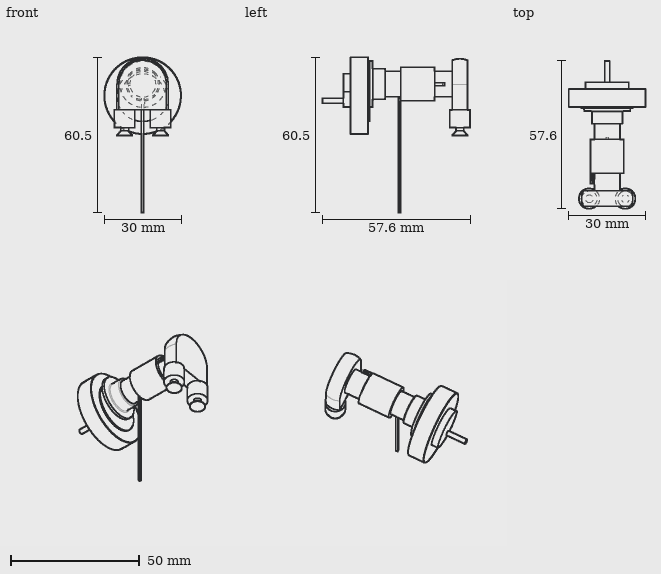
import cadquery as cq
import math


overall_height = 60.45

flange_axis_z = -4.55
flange_radius = 15.0
flange_thickness = 7.0
flange_chamfer = 0.2
plate_radius = 10.05
plate_thickness = 0.55
rear_boss_radius = 8.6
rear_boss_height = 2.7
rear_boss_back = flange_thickness + rear_boss_height

pin_radius = 1.0
pin_axis_z = -6.5
pin_back = 17.95
pin_chamfer = 0.2

disc_radius = 9.0
disc_front = -1.65
collar_radius = 6.0
collar_front = -6.6
collar_fillet = 0.35
collar_root_fillet = 0.35
shaft_radius = 5.0
sleeve_radius = 6.5
sleeve_back = -12.6
sleeve_front = -25.75

wire_width = 0.85
leg_width = 0.95
leg_top = -5.6
leg_bottom = flange_axis_z + flange_radius - overall_height
tab_height = 1.15
tab_length = 4.0
hook_radius = 0.5

head_half_width = 10.0
head_face_half_width = 9.25
head_thickness = 6.05
head_back = -32.6
head_bottom = -10.05
head_centre_y = head_back - head_thickness / 2

foot_offset_x = 7.0
barrel_radius = 4.0
barrel_height = 6.95
neck_radius = 1.5
neck_height = 1.25
cone_radius = 3.0
cone_height = 1.7
rim_height = 0.2


def cylinder_y(radius, y_front, y_back, axis_z=0.0):
    """Cylinder along Y between two Y positions."""
    length = y_back - y_front
    return cq.Workplane(cq.Solid.makeCylinder(
        radius, length, cq.Vector(0, y_front, axis_z), cq.Vector(0, 1, 0)))


def make_flange():
    flange = cylinder_y(flange_radius, 0, flange_thickness, flange_axis_z)
    flange = flange.edges().chamfer(flange_chamfer)
    plate = cylinder_y(plate_radius, -plate_thickness, 0, flange_axis_z)
    return flange.union(plate)


def make_rear_boss():
    """Lens-shaped boss: the overlap of a flange circle and the spindle disc circle."""
    flange_round = cylinder_y(rear_boss_radius, flange_thickness, rear_boss_back, flange_axis_z)
    spindle_round = cylinder_y(disc_radius, flange_thickness, rear_boss_back)
    return flange_round.intersect(spindle_round)


def make_rear_pin():
    pin = cylinder_y(pin_radius, flange_thickness, pin_back, pin_axis_z)
    return pin.faces(">Y").edges().chamfer(pin_chamfer)


def make_spindle():
    """Disc, collar, shaft and sleeve as one revolved profile of (radius, Y) points."""
    root_radius = collar_radius + collar_root_fillet
    corner_radius = collar_radius - collar_fillet
    arc_reach = math.sqrt(0.5)
    profile = (
        cq.Workplane("XY")
        .moveTo(0, -plate_thickness)
        .lineTo(disc_radius, -plate_thickness)
        .lineTo(disc_radius, disc_front)
        .lineTo(root_radius, disc_front)
        .threePointArc(
            (root_radius - collar_root_fillet * arc_reach,
             disc_front - collar_root_fillet * (1 - arc_reach)),
            (collar_radius, disc_front - collar_root_fillet))
        .lineTo(collar_radius, collar_front + collar_fillet)
        .threePointArc(
            (corner_radius + collar_fillet * arc_reach,
             collar_front + collar_fillet * (1 - arc_reach)),
            (corner_radius, collar_front))
        .lineTo(shaft_radius, collar_front)
        .lineTo(shaft_radius, sleeve_back)
        .lineTo(sleeve_radius, sleeve_back)
        .lineTo(sleeve_radius, sleeve_front)
        .lineTo(shaft_radius, sleeve_front)
        .lineTo(shaft_radius, head_back)
        .lineTo(0, head_back)
        .close()
    )
    return profile.revolve(360, (0, 0, 0), (0, 1, 0))


def make_spring_ends():
    leg = cq.Workplane("XY").box(
        leg_width, wire_width, leg_top - leg_bottom, centered=(True, False, False)
    ).translate((0, sleeve_back, leg_bottom))
    tab_front = sleeve_front - tab_length
    tab = cq.Workplane("XY").box(
        wire_width, tab_length, tab_height, centered=(False, False, True)
    ).translate((-sleeve_radius, tab_front, 0))
    hook_start = -sleeve_radius + wire_width / 2
    hook = cq.Workplane(cq.Solid.makeCylinder(
        hook_radius, -hook_start, cq.Vector(hook_start, tab_front + hook_radius, 0), cq.Vector(1, 0, 0)))
    return leg.union(tab).union(hook)


def make_head():
    """Crowned half section, revolved for the round top and extruded for the straight sides."""
    head_front = head_back - head_thickness

    def half_section():
        return (
            cq.Workplane("XY")
            .moveTo(0, head_back)
            .lineTo(head_face_half_width, head_back)
            .threePointArc((head_half_width, head_centre_y), (head_face_half_width, head_front))
            .lineTo(0, head_front)
            .close()
        )

    round_top = half_section().revolve(360, (0, 0, 0), (0, 1, 0))
    right_side = half_section().extrude(head_bottom)
    left_side = right_side.mirror("YZ")
    return round_top.union(right_side).union(left_side)


def make_foot(centre_x):
    """Barrel with a thin neck and a flared tip, revolved about a vertical axis."""
    neck_top = -barrel_height
    cone_top = neck_top - neck_height
    rim_top = cone_top - cone_height
    rim_bottom = rim_top - rim_height
    profile = cq.Workplane("XZ").polyline([
        (0, 0),
        (barrel_radius, 0),
        (barrel_radius, neck_top),
        (neck_radius, neck_top),
        (neck_radius, cone_top),
        (cone_radius, rim_top),
        (cone_radius, rim_bottom),
        (0, rim_bottom),
    ]).close()
    foot = profile.revolve(360, (0, 0, 0), (0, 1, 0))
    return foot.translate((centre_x, head_centre_y, head_bottom))


result = make_flange()
for body in (make_rear_boss(), make_rear_pin(), make_spindle(), make_spring_ends(), make_head()):
    result = result.union(body)
for side in (-1, 1):
    result = result.union(make_foot(side * foot_offset_x))